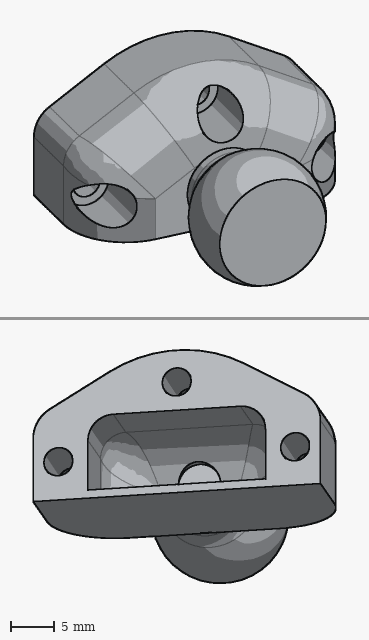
import cadquery as cq
import math

housing_depth = 15.98
housing_width = 34.0
side_height = 7.65
slope_angle = math.radians(30)
corner_radius = 4.0
crown_radius = 15.98
nose_fillet = housing_depth / 2

pocket_width = 21.0
pocket_bottom = 1.0
pocket_top = 10.0
pocket_depth = 13.0
pocket_corner_radius = 3.0
pocket_fillet = 6.0
relief_diameter = 5.0

screw_diameter = 3.4
counterbore_diameter = 5.6
counterbore_floor = housing_depth - nose_fillet
side_screw_y = 14.0
side_screw_z = 4.65
top_screw_z = 13.43

stud_z = 4.93
neck_radius = 9.8 / 2
neck_end = 17.05
ball_radius = 8.0
ball_center = 24.58
stud_end = 28.75


def x_cylinder(diameter, y, z, start, end):
    """Cylinder along X between two X positions."""
    plane = cq.Workplane("YZ", origin=(start, y, z))
    return plane.circle(diameter / 2).extrude(end - start)


def make_housing():
    half_width = housing_width / 2
    sin_a = math.sin(slope_angle)
    cos_a = math.cos(slope_angle)

    corner_y = half_width - corner_radius
    shoulder_y = corner_y + corner_radius * sin_a
    shoulder_z = side_height + corner_radius * cos_a
    mid_angle = (math.pi / 2 - slope_angle) / 2
    shoulder_mid_y = corner_y + corner_radius * math.cos(mid_angle)
    shoulder_mid_z = side_height + corner_radius * math.sin(mid_angle)

    crown_y = crown_radius * sin_a
    crown_z = shoulder_z + (shoulder_y - crown_y) * math.tan(slope_angle)
    top_z = crown_z + crown_radius * (1 - cos_a)

    body = (
        cq.Workplane("YZ")
        .moveTo(-half_width, 0)
        .lineTo(half_width, 0)
        .lineTo(half_width, side_height)
        .threePointArc((shoulder_mid_y, shoulder_mid_z), (shoulder_y, shoulder_z))
        .lineTo(crown_y, crown_z)
        .threePointArc((0, top_z), (-crown_y, crown_z))
        .lineTo(-shoulder_y, shoulder_z)
        .threePointArc((-shoulder_mid_y, shoulder_mid_z), (-half_width, side_height))
        .close()
        .extrude(housing_depth)
    )
    return body.faces(">X").edges("not(<Z)").fillet(nose_fillet)


def make_pocket():
    block = (
        cq.Workplane("XY")
        .box(pocket_depth, pocket_width, pocket_top - pocket_bottom, centered=(False, True, False))
        .translate((0, 0, pocket_bottom))
    )
    block = block.edges("|X and >Z").fillet(pocket_corner_radius)
    block = block.faces(">X").edges("not(<Z)").fillet(pocket_fillet)
    relief = x_cylinder(relief_diameter, 0, stud_z, pocket_depth - pocket_fillet, pocket_depth)
    return block.union(relief)


def make_screw_hole(y, z):
    shank = x_cylinder(screw_diameter, y, z, 0, housing_depth)
    head = x_cylinder(counterbore_diameter, y, z, counterbore_floor, housing_depth)
    return shank.union(head)


def make_stud():
    run = ball_center - neck_end
    blend_radius = (run**2 + neck_radius**2 - ball_radius**2) / (2 * (ball_radius - neck_radius))
    blend_center_r = neck_radius + blend_radius
    blend_angle = math.atan2(blend_center_r, run)
    blend_x = ball_center - ball_radius * math.cos(blend_angle)
    blend_r = ball_radius * math.sin(blend_angle)
    half_sweep = (math.pi / 2 - blend_angle) / 2
    blend_mid_x = neck_end + blend_radius * math.sin(half_sweep)
    blend_mid_r = blend_center_r - blend_radius * math.cos(half_sweep)
    end_radius = math.sqrt(ball_radius**2 - (stud_end - ball_center) ** 2)

    profile = (
        cq.Workplane("XY")
        .moveTo(pocket_depth, 0)
        .lineTo(pocket_depth, neck_radius)
        .lineTo(neck_end, neck_radius)
        .threePointArc((blend_mid_x, blend_mid_r), (blend_x, blend_r))
        .threePointArc((ball_center, ball_radius), (stud_end, end_radius))
        .lineTo(stud_end, 0)
        .close()
    )
    return profile.revolve(360, (0, 0), (1, 0)).translate((0, 0, stud_z))


result = make_housing().cut(make_pocket())
for screw_y, screw_z in [(-side_screw_y, side_screw_z), (side_screw_y, side_screw_z), (0, top_screw_z)]:
    result = result.cut(make_screw_hole(screw_y, screw_z))
result = result.union(make_stud())